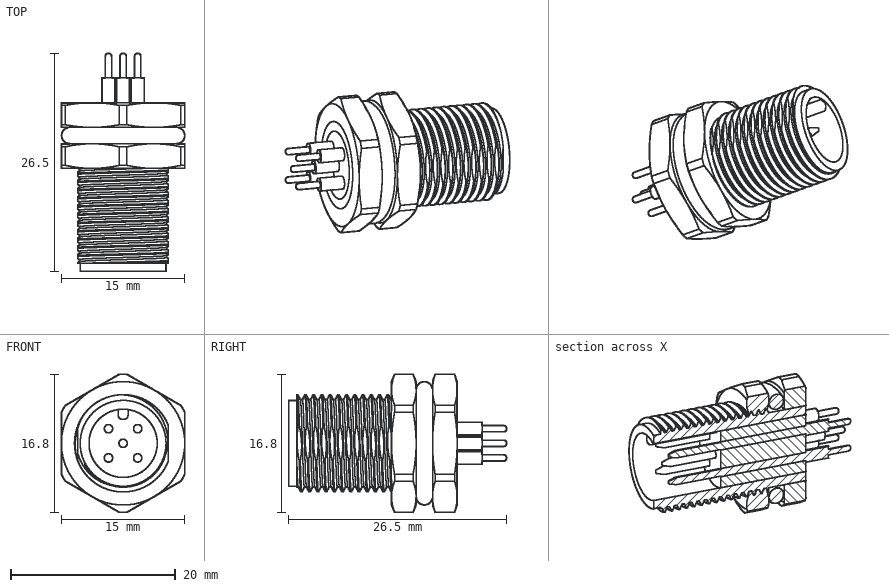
import cadquery as cq
import math

nose_length = 0.98
nut_front = 12.5
nut_thickness = 3.0
ring_section = 2.0
sleeve_length = 3.02
overall_length = 26.5

nut_flats = 15.0
nut_corner_diameter = 16.8
nut_corner_chamfer = 0.37
nut_countersink_diameter = 12.98
nut_countersink_depth = 0.32
flange_corner_chamfer = 0.32

ring_outer_diameter = 15.0

nose_diameter = 10.45
bore_diameter = 8.3
core_diameter = 10.65
thread_diameter = 11.82
thread_crest_width = 0.13
thread_root_width = 0.75
thread_flats = 11.02
first_top_crest = 1.05
last_top_crest = 12.05
crest_gaps = 11
thread_overlap = 0.1

socket_depth = 9.0
key_width = 1.2
key_height = 1.22
key_front = 0.15
key_corner_radius = 0.48
key_edge_radius = 0.19

pin_spacing = 3.55
contact_diameter = 1.0
contact_tip_diameter = 0.53
contact_taper_length = 0.8
contact_start = 2.0
sleeve_diameter = 1.6
tail_diameter = 0.8

nut_back = nut_front + nut_thickness
flange_front = nut_back + ring_section
flange_back = flange_front + nut_thickness
sleeve_end = flange_back + sleeve_length
thread_pitch = (last_top_crest - first_top_crest) / crest_gaps


def rod(diameter, y_start, y_end):
    """Cylinder on the connector axis between two places along Y."""
    return (
        cq.Workplane("XZ", origin=(0, y_start, 0))
        .circle(diameter / 2)
        .extrude(y_start - y_end)
    )


def hex_blank(y_start, corner_chamfer):
    """Hexagon with turned corners, coned on both faces down to the width across flats."""
    y_end = y_start + nut_thickness
    hexagon = (
        cq.Workplane("XZ", origin=(0, y_start, 0))
        .transformed(rotate=(0, 0, 90))
        .polygon(6, nut_flats / math.cos(math.pi / 6))
        .extrude(-nut_thickness)
    )
    turned = (
        cq.Workplane("XY")
        .polyline([
            (0, y_start),
            (nut_flats / 2, y_start),
            (nut_corner_diameter / 2, y_start + corner_chamfer),
            (nut_corner_diameter / 2, y_end - corner_chamfer),
            (nut_flats / 2, y_end),
            (0, y_end),
        ])
        .close()
        .revolve(360, (0, 0, 0), (0, 1, 0))
    )
    return hexagon.intersect(turned)


def make_ridge():
    """Right-hand helical ridge around the shell core, longer than the thread at both ends."""
    core_radius = core_diameter / 2
    thread_radius = thread_diameter / 2
    flank_slope = (thread_root_width - thread_crest_width) / (thread_radius - core_radius)
    buried_width = thread_root_width + thread_overlap * flank_slope
    start = first_top_crest - 2 * thread_pitch
    turns = math.ceil((nut_back - start) / thread_pitch) + 1
    helix = cq.Wire.makeHelix(thread_pitch, turns * thread_pitch, core_radius)
    return (
        cq.Workplane("XZ")
        .polyline([
            (core_radius - thread_overlap, -buried_width / 2),
            (thread_radius, -thread_crest_width / 2),
            (thread_radius, thread_crest_width / 2),
            (core_radius - thread_overlap, buried_width / 2),
        ])
        .close()
        .sweep(cq.Workplane(helix), isFrenet=True)
        .rotate((0, 0, 0), (1, 0, 0), -90)
        .rotate((0, 0, 0), (0, 1, 0), -90)
        .translate((0, start, 0))
    )


def make_nut():
    """Front hexagon nut, tapped to fit the shell thread and countersunk on both faces."""
    hole_radius = core_diameter / 2
    countersink_radius = nut_countersink_diameter / 2
    countersunk_hole = (
        cq.Workplane("XY")
        .polyline([
            (0, nut_front),
            (countersink_radius, nut_front),
            (hole_radius, nut_front + nut_countersink_depth),
            (hole_radius, nut_back - nut_countersink_depth),
            (countersink_radius, nut_back),
            (0, nut_back),
        ])
        .close()
        .revolve(360, (0, 0, 0), (0, 1, 0))
    )
    grooved = hex_blank(nut_front, nut_corner_chamfer).cut(ridge, clean=False)
    tapped = grooved.cut(rod(core_diameter, nut_front, nut_back), clean=False)
    return tapped.cut(countersunk_hole, clean=False)


def make_flange():
    """Rear hexagon, seated on the plain end of the shell."""
    bore = rod(core_diameter, flange_front, flange_back)
    return hex_blank(flange_front, flange_corner_chamfer).cut(bore)


def make_sealing_ring():
    """Round-section ring between the nut and the rear hexagon."""
    section_radius = ring_section / 2
    ring_radius = ring_outer_diameter / 2 - section_radius
    return (
        cq.Workplane("XY")
        .center(ring_radius, nut_back + section_radius)
        .circle(section_radius)
        .revolve(360, (-ring_radius, 0, 0), (-ring_radius, 1, 0))
    )


def make_shell():
    """Flat-sided threaded tube with a plain nose in front and a plain seat behind."""
    thread_limits = cq.Workplane("XY").box(
        thread_flats, nut_back - nose_length, thread_diameter + 0.26
    ).translate((0, (nut_back + nose_length) / 2, 0))
    thread = ridge.intersect(thread_limits, clean=False)
    nose = rod(nose_diameter, 0, nose_length)
    core = rod(core_diameter, nose_length, flange_back)
    bore = rod(bore_diameter, 0, flange_back)
    return core.union(nose).union(thread, clean=False).cut(bore)


def make_key():
    """Polarising key on the socket wall and floor, with rounded corners and front edge."""
    wall = bore_diameter / 2
    return (
        cq.Workplane("XZ", origin=(0, socket_depth, 0))
        .center(0, wall - key_height / 2)
        .rect(key_width, key_height)
        .extrude(socket_depth - key_front)
        .edges("|Y and <Z")
        .fillet(key_corner_radius)
        .faces("<Y")
        .edges("not >Z")
        .fillet(key_edge_radius)
        .intersect(rod(bore_diameter, 0, flange_back))
    )


def make_pin():
    """Contact pin on the axis: rounded tip, taper, contact, sleeve and round-ended tail."""
    tip = contact_tip_diameter / 2
    contact = contact_diameter / 2
    sleeve = sleeve_diameter / 2
    tail = tail_diameter / 2
    return (
        cq.Workplane("XY")
        .moveTo(0, contact_start)
        .radiusArc((tip, contact_start + tip), -tip)
        .lineTo(contact, contact_start + tip + contact_taper_length)
        .lineTo(contact, flange_back)
        .lineTo(sleeve, flange_back)
        .lineTo(sleeve, sleeve_end)
        .lineTo(tail, sleeve_end)
        .lineTo(tail, overall_length - tail)
        .radiusArc((0, overall_length), -tail)
        .close()
        .revolve(360, (0, 0, 0), (0, 1, 0))
    )


pin_places = [(0, 0)] + [
    (x_side * pin_spacing / 2, z_side * pin_spacing / 2)
    for x_side in (-1, 1)
    for z_side in (-1, 1)
]


def make_insert():
    """Insulator filling the shell behind the socket, with the key and the pin holes."""
    insert = rod(bore_diameter, socket_depth, flange_back).union(make_key())
    hole = rod(contact_diameter, socket_depth, flange_back)
    for x, z in pin_places:
        insert = insert.cut(hole.translate((x, 0, z)))
    return insert


ridge = make_ridge()
shell = make_shell()
insert = make_insert()
nut = make_nut()
flange = make_flange()
sealing_ring = make_sealing_ring()
pins = [make_pin().translate((x, 0, z)) for x, z in pin_places]

result = cq.Compound.makeCompound([
    shell.val(),
    insert.val(),
    nut.val(),
    flange.val(),
    sealing_ring.val(),
    *[pin.val() for pin in pins],
])